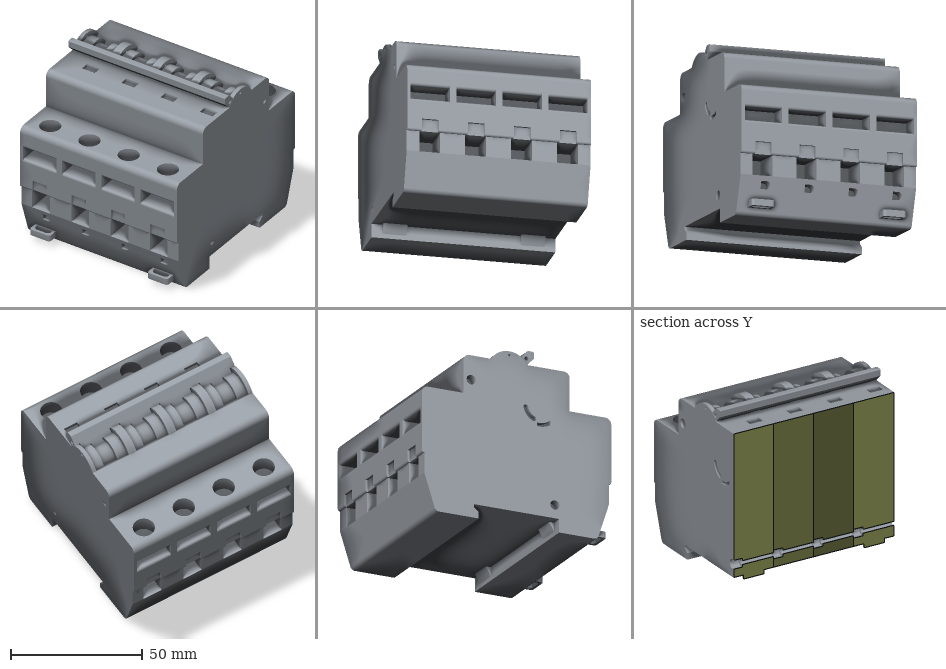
import cadquery as cq
import math

TOTAL_WIDTH = 72.0
POLE_COUNT = 4
POLE_WIDTH = TOTAL_WIDTH / POLE_COUNT
POLE_MIDDLE = POLE_WIDTH / 2
CLIPPED_POLES = (0, POLE_COUNT - 1)

UPPER_HALF_DEPTH = 22.6
SHOULDER_HALF_DEPTH = 40.2
LOWER_HALF_DEPTH = 39.25
FOOT_HALF_DEPTH = 34.4
TOP_HEIGHT = 65.8
SHOULDER_HEIGHT = 50
STEP_HEIGHT = 23.05
SLOPE_HEIGHT = 14.9
EDGE_RADIUS = 2.5
STEP_RADIUS = 0.8
FOOT_RADIUS = 1.9

RAIL_HALF_WIDTH = 18.05
RAIL_DEPTH = 5.5
HOOK_REACH = 1.9
HOOK_TOP = 4.3
HOOK_BOTTOM = 2.75

TOGGLE_Y = 3.1
TOGGLE_Z = 61.0
DISC_RADIUS = 9.1
DISC_WIDTH = 1.7
DRUM_RADIUS = 7.1
GROOVE_RADIUS = 5.5
GROOVE_WIDTH = 6.05
GROOVE_START = POLE_MIDDLE - GROOVE_WIDTH / 2
WELL_BOTTOM_Y = 5.9
AXLE_DIAMETER = 1.0
AXLE_HEIGHT = 68.5

LEVER_TOP = 71.6
LEVER_BACK_Y = -4.75
LEVER_FRONT_Y = -7.3
LEVER_FRONT_BOTTOM = 68.75
LEVER_EDGE_RADIUS = 0.4
LEVER_CLEARANCE = 0.2
LEVER_SIDE_CLEARANCE = 0.65
LEVER_HOLE_DIAMETER = 1.6
LEVER_HOLE_Y = -4.2
LEVER_HOLE_Z = 68.35

SCREW_HOLE_DIAMETER = 8.5
SCREW_HOLE_Y = 33.0
SCREW_HOLE_DEPTH = 6.45
WINDOW_WIDTH = 15.3
WINDOW_BOTTOM = 35.95
WINDOW_TOP = 41.3
WINDOW_DEPTH = 8.1
WINDOW_LIP_RADIUS = 1.0
NOTCH_WIDTH = 6.5
NOTCH_TOP = 27.9
ENTRY_WIDTH = 8.15
ENTRY_DEPTH = 12.1

D_HOLE_LEFT = 8.8
D_HOLE_RIGHT = 12.5
D_HOLE_BOTTOM = 10.0
D_HOLE_TOP = 13.0
D_HOLE_DEPTH = 4.8

SLOT_LEFT = 10.1
SLOT_LENGTH = 5.9
SLOT_BACK_Y = -9.5
SLOT_WIDTH = 3.5
SLOT_DEPTH = 1.2
SLOT_WALL_LEAN = 0.3

RIVET_PLACES = ((19.35, 55.85), (-16.3, 10.9))
RIVET_DIAMETER = 2.0
RIVET_HEAD_DIAMETER = 3.8
RIVET_HEAD_DEPTH = 4

ARC_CENTER_Y = -9.75
ARC_CENTER_Z = 49.9
ROUND_SLOT_RADIUS = 6.0
ROUND_SLOT_WIDTH = 2.0
ROUND_SLOT_ANGLES = (-12, -65.5)
SQUARE_SLOT_RADIUS = 7.5
SQUARE_SLOT_WIDTH = 1.45
SQUARE_SLOT_BACK_Y = -8.6
SQUARE_SLOT_FRONT_Y = -14.35
ARC_SLOT_DEPTH = 2.0

CLIP_WIDTH = 9.35
CLIP_LEFT = 4.35
CLIP_FRONT_Y = -40.4
CLIP_BOTTOM = 2.9
CLIP_TOP = 5.5
CLIP_CORNER_RADIUS = 1.1
CLIP_WALL = 1.2
CLIP_WINDOW_BACK_Y = -36.7
CLIP_WINDOW_CHAMFER = 1.0
LATCH_REACH = 2.0
LATCH_BOTTOM = 1.85


def prism(points, start, width):
    """Extrude a (Y, Z) polygon along X."""
    return cq.Workplane("YZ", origin=(start, 0, 0)).polyline(points).close().extrude(width)


def rod(y, z, diameter, start, length):
    """Cylinder along X."""
    return cq.Workplane("YZ", origin=(start, y, z)).circle(diameter / 2).extrude(length)


def block(x_range, y_range, z_range):
    """Box between the given limits."""
    (x0, x1), (y0, y1), (z0, z1) = x_range, y_range, z_range
    return cq.Workplane("XY").box(x1 - x0, y1 - y0, z1 - z0, centered=False).translate((x0, y0, z0))


def edges_at(y, z):
    """Selector for the edges along X at one corner of the outline."""
    reach = 0.04
    return cq.selectors.BoxSelector(
        (-0.8, y - reach, z - reach), (POLE_WIDTH + 0.8, y + reach, z + reach)
    )


def make_housing():
    half = [
        (FOOT_HALF_DEPTH, 0),
        (LOWER_HALF_DEPTH, SLOPE_HEIGHT),
        (LOWER_HALF_DEPTH, STEP_HEIGHT),
        (SHOULDER_HALF_DEPTH, STEP_HEIGHT),
        (SHOULDER_HALF_DEPTH, SHOULDER_HEIGHT),
        (UPPER_HALF_DEPTH, SHOULDER_HEIGHT),
        (UPPER_HALF_DEPTH, TOP_HEIGHT),
    ]
    outline = half + [(-y, z) for y, z in reversed(half)]
    housing = prism(outline, 0, POLE_WIDTH)
    rounded = (
        (FOOT_HALF_DEPTH, 0, FOOT_RADIUS),
        (SHOULDER_HALF_DEPTH, STEP_HEIGHT, STEP_RADIUS),
        (SHOULDER_HALF_DEPTH, SHOULDER_HEIGHT, EDGE_RADIUS),
        (UPPER_HALF_DEPTH, TOP_HEIGHT, EDGE_RADIUS),
    )
    for y, z, radius in rounded:
        housing = housing.edges(edges_at(y, z)).fillet(radius)
        housing = housing.edges(edges_at(-y, z)).fillet(radius)
    return housing.cut(make_rail_recess())


def make_rail_recess():
    hook_y = RAIL_HALF_WIDTH - HOOK_REACH
    recess = [
        (-RAIL_HALF_WIDTH, 0),
        (-RAIL_HALF_WIDTH, RAIL_DEPTH),
        (RAIL_HALF_WIDTH, RAIL_DEPTH),
        (RAIL_HALF_WIDTH, HOOK_TOP),
        (hook_y, HOOK_BOTTOM),
        (hook_y, 0),
    ]
    return prism(recess, 0, POLE_WIDTH)


def add_toggle(housing):
    """Lever bar, discs and drum, standing in a V-shaped well in the housing top."""
    well_bottom = (WELL_BOTTOM_Y, LEVER_TOP + LEVER_BACK_Y - WELL_BOTTOM_Y)
    well_back_y = TOGGLE_Y + math.sqrt(DISC_RADIUS**2 - (TOP_HEIGHT - TOGGLE_Z) ** 2)
    lever_front_foot_y = LEVER_FRONT_Y + LEVER_FRONT_BOTTOM - TOP_HEIGHT
    lever_outline = [
        (LEVER_BACK_Y, LEVER_TOP),
        (LEVER_FRONT_Y, LEVER_TOP),
        (LEVER_FRONT_Y, LEVER_FRONT_BOTTOM),
        (lever_front_foot_y, TOP_HEIGHT),
        (lever_front_foot_y, well_bottom[1]),
        well_bottom,
    ]
    lever = prism(lever_outline, 0, POLE_WIDTH)
    for y in (LEVER_FRONT_Y, LEVER_BACK_Y):
        lever = lever.edges(edges_at(y, LEVER_TOP)).fillet(LEVER_EDGE_RADIUS)
    for radius, start, end in toggle_ends():
        length = end - start + LEVER_SIDE_CLEARANCE
        gap = toggle_rod(radius + LEVER_CLEARANCE, start, length)
        lever = lever.cut(gap).cut(gap.mirror("YZ", (POLE_MIDDLE, 0, 0)))
    housing = housing.union(lever)

    well_outline = [
        well_bottom,
        (LEVER_BACK_Y, LEVER_TOP),
        (well_back_y, LEVER_TOP),
        (well_back_y, TOP_HEIGHT),
    ]
    housing = housing.cut(prism(well_outline, DISC_WIDTH, POLE_WIDTH - 2 * DISC_WIDTH))

    housing = housing.union(toggle_rod(GROOVE_RADIUS, GROOVE_START, GROOVE_WIDTH))
    for radius, start, end in toggle_ends():
        step = toggle_rod(radius, start, end - start)
        housing = housing.union(step).union(step.mirror("YZ", (POLE_MIDDLE, 0, 0)))
    axle_hole = rod(TOGGLE_Y, AXLE_HEIGHT, AXLE_DIAMETER, 0, DISC_WIDTH)
    housing = housing.cut(axle_hole).cut(axle_hole.mirror("YZ", (POLE_MIDDLE, 0, 0)))
    lever_hole = rod(LEVER_HOLE_Y, LEVER_HOLE_Z, LEVER_HOLE_DIAMETER, 0, POLE_WIDTH)
    return housing.cut(lever_hole)


def toggle_ends():
    """Radius, start and end of the disc and the drum on the left of the groove."""
    return ((DISC_RADIUS, 0, DISC_WIDTH), (DRUM_RADIUS, DISC_WIDTH, GROOVE_START))


def toggle_rod(radius, start, length):
    return rod(TOGGLE_Y, TOGGLE_Z, 2 * radius, start, length)


def centered_span(width):
    """X limits of a feature in the middle of the pole."""
    return (POLE_MIDDLE - width / 2, POLE_MIDDLE + width / 2)


def make_terminal():
    """Everything to cut for the front terminal."""
    screw_hole = (
        cq.Workplane("XY", origin=(POLE_MIDDLE, -SCREW_HOLE_Y, SHOULDER_HEIGHT))
        .circle(SCREW_HOLE_DIAMETER / 2)
        .extrude(-SCREW_HOLE_DEPTH)
    )
    notch = block(
        centered_span(NOTCH_WIDTH),
        (-SHOULDER_HALF_DEPTH, -LOWER_HALF_DEPTH),
        (STEP_HEIGHT, NOTCH_TOP),
    )
    entry = block(
        centered_span(ENTRY_WIDTH),
        (-SHOULDER_HALF_DEPTH, ENTRY_DEPTH - LOWER_HALF_DEPTH),
        (SLOPE_HEIGHT, STEP_HEIGHT),
    )
    return screw_hole.union(make_window()).union(notch).union(entry)


def make_window():
    """Terminal window that flares out to the front in a rounded lip above and below."""
    front_y = -SHOULDER_HALF_DEPTH
    lip_y = front_y + WINDOW_LIP_RADIUS
    back_y = front_y + WINDOW_DEPTH
    lip_middle = WINDOW_LIP_RADIUS * (1 - math.sqrt(0.5))
    start, end = centered_span(WINDOW_WIDTH)
    return (
        cq.Workplane("YZ", origin=(start, 0, 0))
        .moveTo(back_y, WINDOW_BOTTOM)
        .lineTo(lip_y, WINDOW_BOTTOM)
        .threePointArc(
            (front_y + lip_middle, WINDOW_BOTTOM - lip_middle),
            (front_y, WINDOW_BOTTOM - WINDOW_LIP_RADIUS),
        )
        .lineTo(front_y, WINDOW_TOP + WINDOW_LIP_RADIUS)
        .threePointArc((front_y + lip_middle, WINDOW_TOP + lip_middle), (lip_y, WINDOW_TOP))
        .lineTo(back_y, WINDOW_TOP)
        .close()
        .extrude(end - start)
    )


def make_d_hole():
    """Hole with a flat left side and a round right side, running back from the slope."""
    radius = (D_HOLE_TOP - D_HOLE_BOTTOM) / 2
    middle = (D_HOLE_TOP + D_HOLE_BOTTOM) / 2
    round_start = D_HOLE_RIGHT - radius
    return (
        cq.Workplane("XZ", origin=(0, D_HOLE_DEPTH - LOWER_HALF_DEPTH, 0))
        .moveTo(D_HOLE_LEFT, D_HOLE_BOTTOM)
        .lineTo(round_start, D_HOLE_BOTTOM)
        .threePointArc((D_HOLE_RIGHT, middle), (round_start, D_HOLE_TOP))
        .lineTo(D_HOLE_LEFT, D_HOLE_TOP)
        .close()
        .extrude(D_HOLE_DEPTH)
    )


def make_label_slot():
    """Shallow slot whose back wall leans back."""
    floor = TOP_HEIGHT - SLOT_DEPTH
    front_y = SLOT_BACK_Y - SLOT_WIDTH
    outline = [
        (SLOT_BACK_Y, TOP_HEIGHT),
        (SLOT_BACK_Y - SLOT_WALL_LEAN, floor),
        (front_y, floor),
        (front_y, TOP_HEIGHT),
    ]
    return prism(outline, SLOT_LEFT, SLOT_LENGTH)


def make_rivet_hole(y, z):
    hole = rod(y, z, RIVET_DIAMETER, 0, POLE_WIDTH)
    return hole.union(rod(y, z, RIVET_HEAD_DIAMETER, 0, RIVET_HEAD_DEPTH))


def arc_point(radius, degrees):
    """Point on a circle about the center of the arc slots, at an angle from +Y towards +Z."""
    angle = math.radians(degrees)
    return (ARC_CENTER_Y + radius * math.cos(angle), ARC_CENTER_Z + radius * math.sin(angle))


def arc_angle(radius, y):
    """Angle at which the lower half of a circle about the center of the arc slots reaches y."""
    return -math.degrees(math.acos((y - ARC_CENTER_Y) / radius))


def make_arc_slot(inner, outer):
    """Slot between two arcs, each given as (radius, first angle, last angle)."""
    inner_radius, inner_first, inner_last = inner
    outer_radius, outer_first, outer_last = outer
    return (
        cq.Workplane("YZ")
        .moveTo(*arc_point(inner_radius, inner_first))
        .threePointArc(
            arc_point(inner_radius, (inner_first + inner_last) / 2),
            arc_point(inner_radius, inner_last),
        )
        .lineTo(*arc_point(outer_radius, outer_last))
        .threePointArc(
            arc_point(outer_radius, (outer_first + outer_last) / 2),
            arc_point(outer_radius, outer_first),
        )
        .close()
        .extrude(ARC_SLOT_DEPTH)
    )


def make_round_slot():
    """Arc slot with round ends."""
    first, last = ROUND_SLOT_ANGLES
    inner_radius = ROUND_SLOT_RADIUS - ROUND_SLOT_WIDTH / 2
    outer_radius = ROUND_SLOT_RADIUS + ROUND_SLOT_WIDTH / 2
    slot = make_arc_slot((inner_radius, first, last), (outer_radius, first, last))
    for degrees in (first, last):
        y, z = arc_point(ROUND_SLOT_RADIUS, degrees)
        slot = slot.union(rod(y, z, ROUND_SLOT_WIDTH, 0, ARC_SLOT_DEPTH))
    return slot


def make_square_slot():
    """Arc slot with upright flat ends."""
    arcs = []
    for radius in (
        SQUARE_SLOT_RADIUS - SQUARE_SLOT_WIDTH / 2,
        SQUARE_SLOT_RADIUS + SQUARE_SLOT_WIDTH / 2,
    ):
        first = arc_angle(radius, SQUARE_SLOT_BACK_Y)
        last = arc_angle(radius, SQUARE_SLOT_FRONT_Y)
        arcs.append((radius, first, last))
    return make_arc_slot(*arcs)


def make_clip():
    """Clip with a finger window at the front and a sloped latch in the rail recess."""
    start, end = CLIP_LEFT, CLIP_LEFT + CLIP_WIDTH
    bar = block((start, end), (CLIP_FRONT_Y, -RAIL_HALF_WIDTH), (CLIP_BOTTOM, CLIP_TOP))
    bar = bar.edges("|Z and <Y").fillet(CLIP_CORNER_RADIUS)
    window = block(
        (start + CLIP_WALL, end - CLIP_WALL),
        (CLIP_FRONT_Y + CLIP_WALL, CLIP_WINDOW_BACK_Y),
        (CLIP_BOTTOM, CLIP_TOP),
    )
    window = window.edges("|Z and <Y").chamfer(CLIP_WINDOW_CHAMFER)
    latch_outline = [
        (-RAIL_HALF_WIDTH, CLIP_TOP),
        (LATCH_REACH - RAIL_HALF_WIDTH, CLIP_TOP),
        (-RAIL_HALF_WIDTH, LATCH_BOTTOM),
    ]
    return bar.cut(window).union(prism(latch_outline, start, CLIP_WIDTH))


def make_pole(has_clip):
    """One breaker pole with its left side on the plane X = 0."""
    pole = add_toggle(make_housing())
    front_terminal = make_terminal()
    pole = pole.cut(front_terminal).cut(front_terminal.mirror("XZ"))
    pole = pole.cut(make_d_hole()).cut(make_label_slot())
    pole = pole.cut(make_round_slot()).cut(make_square_slot())
    for y, z in RIVET_PLACES:
        pole = pole.cut(make_rivet_hole(y, z))
    if has_clip:
        pole = pole.union(make_clip())
    return pole


poles = []
for index in range(POLE_COUNT):
    pole = make_pole(index in CLIPPED_POLES).translate((index * POLE_WIDTH, 0, 0))
    poles.append(pole.val())

result = cq.Compound.makeCompound(poles)